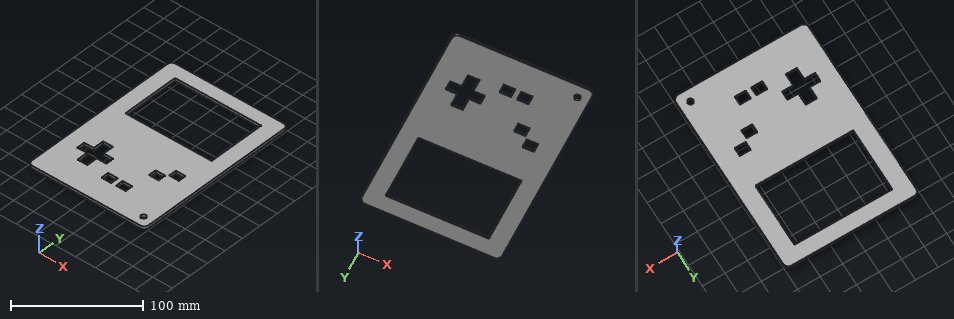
import cadquery as cq

width = 118.2
length = 164.4
thickness = 3.0
corner_radius = 5.0

screen_width = 86.6
screen_height = 56.5
screen_top_margin = 13.5
screen_y = length / 2 - screen_top_margin - screen_height / 2

pad_span = 29.1
pad_upright_width = 9.7
pad_crossbar_height = 7.7
pad_x = (pad_span - screen_width) / 2
pad_y = -39.1

button_width = 9.5
button_height = 7.4
lower_button_y = -54.4
button_centers = [
    (-0.8, lower_button_y),
    (13.8, lower_button_y),
    (24.0, -28.3),
    (35.8, -18.5),
]

hole_diameter = 5.0
hole_edge_distance = 9.9
hole_x = width / 2 - hole_edge_distance
hole_y = hole_edge_distance - length / 2


def window(size_x, size_y, centers):
    """Rectangular cutters through the full thickness."""
    return cq.Workplane("XY").pushPoints(centers).rect(size_x, size_y).extrude(thickness)


plate = (
    cq.Workplane("XY")
    .rect(width, length)
    .extrude(thickness)
    .edges("|Z")
    .fillet(corner_radius)
)

screen = window(screen_width, screen_height, [(0, screen_y)])
pad_upright = window(pad_upright_width, pad_span, [(pad_x, pad_y)])
pad_crossbar = window(pad_span, pad_crossbar_height, [(pad_x, pad_y)])
buttons = window(button_width, button_height, button_centers)
hole = cq.Workplane("XY").center(hole_x, hole_y).circle(hole_diameter / 2).extrude(thickness)

result = plate
for cutter in (screen, pad_upright, pad_crossbar, buttons, hole):
    result = result.cut(cutter)